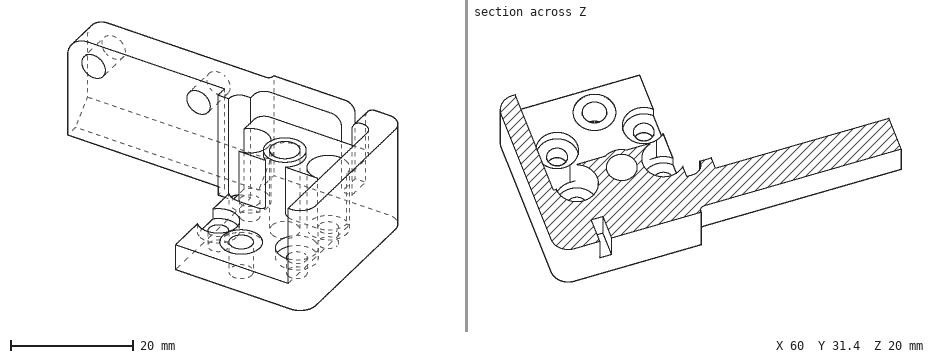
import cadquery as cq

length = 60.0
depth = 31.4
height = 20.0

base_left = 35.0
base_thickness = 5.0
wall_inner_x = 56.5
wall_inner_y = 27.0
outer_radius = 3.0
pocket_radius = 1.9

arm_front = 24.0
arm_back = 30.35
arm_corner_radius = 3.95
arm_step_radius = 0.9
arm_chamfer = 4.8
arm_hole_diameter = 4.5
arm_hole_xs = (5.0, 25.0)
arm_hole_z = 15.5

tab_left = 30.0
tab_width = 2.05
tab_projection = 2.1
tab_fillet = 1.9

slot_left = 50.5
slot_right = 52.5
slot_radius = 1.9

block_top = 15.0
screw_xs = (37.5, 52.5)
screw_ys = (9.5, 19.5)
screw_hole_diameter = 3.4
screw_head_diameter = 7.0
screw_seat_z = 3.0

collar_x = 44.5
collar_diameter = 7.0
collar_height = 0.95
collar_fillet = 0.9
front_collar_y = 5.05
front_bore_diameter = 4.0
rear_collar_y = 18.95
rear_bore_diameter = 5.0


def box(x_range, y_range, z_range):
    (x0, x1), (y0, y1), (z0, z1) = x_range, y_range, z_range
    return cq.Workplane("XY").box(x1 - x0, y1 - y0, z1 - z0, centered=False).translate((x0, y0, z0))


def cylinder(x, y, diameter, z_bottom, z_top):
    return cq.Workplane("XY", origin=(x, y, z_bottom)).circle(diameter / 2).extrude(z_top - z_bottom)


def make_base():
    """Rounded plate with a back wall and a right wall around an open pocket."""
    body = box((base_left, length), (0, depth), (0, height))
    body = body.edges("|Z and >X").fillet(outer_radius)
    pocket = box((base_left, wall_inner_x), (-0.6, wall_inner_y), (base_thickness, height))
    pocket = pocket.edges("|Z and >Y").fillet(pocket_radius)
    return body.cut(pocket)


def make_arm():
    """Arm with a rounded top corner, a chamfered back edge and two cross holes."""
    step_start = base_left - arm_step_radius
    arm = (
        cq.Workplane("XY")
        .moveTo(0, arm_front)
        .lineTo(base_left, arm_front)
        .lineTo(base_left, arm_back + arm_step_radius)
        .radiusArc((step_start, arm_back), arm_step_radius)
        .lineTo(0, arm_back)
        .close()
        .extrude(height)
        .edges("|Y and <X and >Z")
        .fillet(arm_corner_radius)
    )
    chamfer = (
        cq.Workplane("YZ")
        .polyline([(depth, 0), (depth - arm_chamfer, 0), (depth, arm_chamfer)])
        .close()
        .extrude(base_left)
    )
    holes = (
        cq.Workplane("XZ", origin=(0, depth, 0))
        .pushPoints([(x, arm_hole_z) for x in arm_hole_xs])
        .circle(arm_hole_diameter / 2)
        .extrude(depth)
    )
    return arm.cut(chamfer).cut(holes)


def make_tab():
    """Full-height tab with a concave fillet on its right side."""
    tab_front = arm_front - tab_projection
    tab_right = tab_left + tab_width
    return (
        cq.Workplane("XY")
        .moveTo(tab_left, arm_front)
        .lineTo(tab_left, tab_front)
        .lineTo(tab_right, tab_front)
        .lineTo(tab_right, arm_front - tab_fillet)
        .radiusArc((tab_right + tab_fillet, arm_front), tab_fillet)
        .close()
        .extrude(height)
    )


def make_slot():
    """Cutter for the wall slot, flaring into rounded upper lips."""
    lip_z = height - slot_radius
    return (
        cq.Workplane("XZ", origin=(0, depth, 0))
        .moveTo(slot_left, base_thickness)
        .lineTo(slot_left, lip_z)
        .radiusArc((slot_left - slot_radius, height), -slot_radius)
        .lineTo(slot_right + slot_radius, height)
        .radiusArc((slot_right, lip_z), -slot_radius)
        .lineTo(slot_right, base_thickness)
        .close()
        .extrude(depth - wall_inner_y)
    )


def make_block():
    """Raised block whose front face is tangent to the rear screw-head clearances."""
    left_x, right_x = screw_xs
    rear_y = screw_ys[1]
    z_range = (base_thickness, block_top)
    front_y = rear_y - screw_head_diameter / 2
    rear = box((base_left, wall_inner_x), (rear_y, wall_inner_y), z_range)
    front = box((left_x, right_x), (front_y, rear_y), z_range)
    return rear.union(front)


def make_collar(y, z_top):
    """Cylinder up to z_top with a concave fillet where it meets the base plate."""
    radius = collar_diameter / 2
    fillet_top = base_thickness + collar_fillet
    return (
        cq.Workplane("XZ")
        .moveTo(0, 0)
        .lineTo(radius + collar_fillet, 0)
        .lineTo(radius + collar_fillet, base_thickness)
        .radiusArc((radius, fillet_top), collar_fillet)
        .lineTo(radius, z_top)
        .lineTo(0, z_top)
        .close()
        .revolve(360, (0, 0, 0), (0, 1, 0))
        .translate((collar_x, y, 0))
    )


result = make_base().union(make_arm()).union(make_tab()).union(make_block()).cut(make_slot())

collars = (
    (front_collar_y, base_thickness + collar_height, front_bore_diameter),
    (rear_collar_y, block_top + collar_height, rear_bore_diameter),
)
for y, z_top, bore_diameter in collars:
    result = result.union(make_collar(y, z_top))
    result = result.cut(cylinder(collar_x, y, bore_diameter, 0, height))

for x in screw_xs:
    for y in screw_ys:
        result = result.cut(cylinder(x, y, screw_hole_diameter, 0, height))
        result = result.cut(cylinder(x, y, screw_head_diameter, screw_seat_z, height))